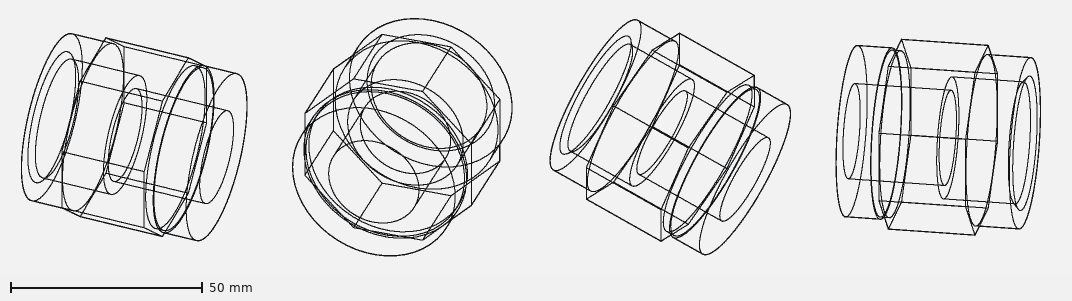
import cadquery as cq

length = 46.1
collar_diameter = 45.0
across_flats = 46.0
flat_count = 8

octagon_start = length / 4
octagon_end = 3 * length / 4
groove_diameter = 43.85
groove_width = 2.3

socket_diameter = 32.0
socket_depth = 20.5
mouth_diameter = 35.25
mouth_depth = 1.48
through_diameter = 25.0


def cylinder(diameter, start, end):
    """Solid cylinder on the X axis between two X positions."""
    return cq.Workplane("YZ", origin=(start, 0, 0)).circle(diameter / 2).extrude(end - start)


def octagon():
    """Octagonal prism with flats facing Y and Z."""
    return (
        cq.Workplane("YZ", origin=(octagon_start, 0, 0))
        .polygon(flat_count, across_flats, circumscribed=True)
        .extrude(octagon_end - octagon_start)
    )


def stepped_bore():
    """Socket with a conical mouth at the -X end, leading into the through hole."""
    profile = [
        (0, 0),
        (0, mouth_diameter / 2),
        (mouth_depth, socket_diameter / 2),
        (socket_depth, socket_diameter / 2),
        (socket_depth, through_diameter / 2),
        (length, through_diameter / 2),
        (length, 0),
    ]
    return cq.Workplane("XY").polyline(profile).close().revolve(360, (0, 0, 0), (1, 0, 0))


front_collar = cylinder(collar_diameter, 0, octagon_start)
groove_floor = cylinder(groove_diameter, octagon_end, octagon_end + groove_width)
rear_collar = cylinder(collar_diameter, octagon_end + groove_width, length)

body = octagon().union(front_collar).union(groove_floor).union(rear_collar)
result = body.cut(stepped_bore())